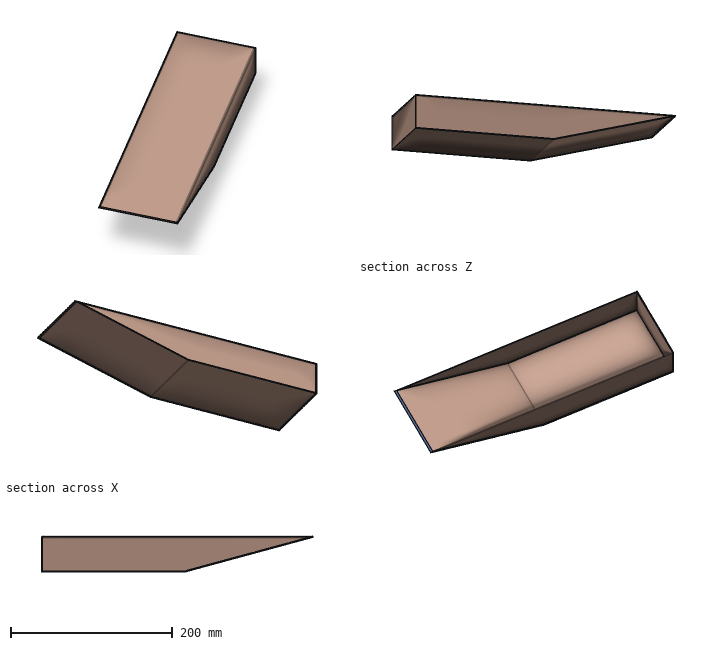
import cadquery as cq
import math

width = 102.0
length = 335.5
height = 44.0

sheet = 1.0
bend_radius = 2 * sheet
inner_bend_radius = bend_radius - sheet
tip_radius = 0.7
seam_gap = 0.17

flat_length = 178.5
tip_thickness = 1.5

thin_end = -length / 2
thick_end = length / 2
knee = thick_end - flat_length
slope_angle = math.atan2(height - tip_thickness, knee - thin_end)


def underside_knee(offset):
    """Corner between flat and slope, on a line offset upward from the underside."""
    return (knee - offset * math.tan(slope_angle / 2), offset)


def underside_slope(offset, level):
    """Point at height `level` on the slope offset upward from the underside."""
    knee_y, knee_z = underside_knee(offset)
    return (knee_y - (level - knee_z) / math.tan(slope_angle), level)


def side_profile(points, half_width):
    """Extrude a closed Y-Z outline equally to both sides of the middle plane."""
    return cq.Workplane("YZ").polyline(points).close().extrude(half_width, both=True)


def round_top(body, radius):
    """Round the two long top edges and the top edge of the thick end."""
    return body.faces(">Z").edges("|Y or >Y").fillet(radius)


block = cq.Workplane("XY").box(width, length, height, centered=(True, True, False))
wedge = side_profile(
    [
        (thick_end, 0),
        (thick_end, height),
        (thin_end, height),
        (thin_end, height - tip_thickness),
        underside_knee(0),
    ],
    width / 2,
)
wedge = wedge.faces(">Z").edges("<Y").fillet(tip_radius)
outer = round_top(block, bend_radius).intersect(wedge)

inner_top = height - sheet
inner_back = thick_end - sheet
inner_half_width = width / 2 - sheet
cavity = side_profile(
    [
        (inner_back, sheet),
        (inner_back, inner_top),
        underside_slope(sheet, inner_top),
        underside_knee(sheet),
    ],
    inner_half_width,
)
cavity = round_top(cavity, inner_bend_radius)

seam_top = sheet + seam_gap
seam_end_level = height - bend_radius
seams = side_profile(
    [
        (inner_back, sheet),
        (inner_back, seam_top),
        underside_knee(seam_top),
        underside_slope(seam_top, seam_end_level),
        underside_slope(sheet, seam_end_level),
        underside_knee(sheet),
    ],
    width / 2,
)

result = outer.cut(cavity).cut(seams)